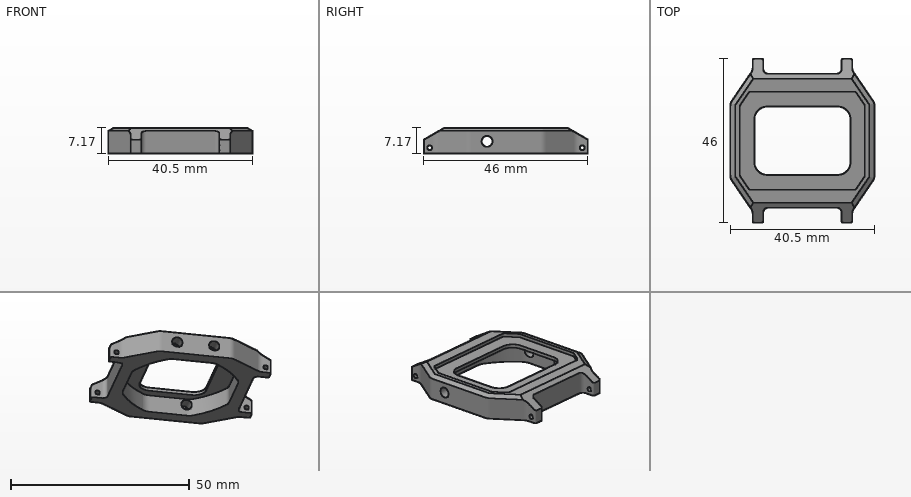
import cadquery as cq
import math

length = 46.0
width = 40.45
height = 7.17
body_length = 37.6

corner_angle = 34.3
side_flat_half = 10.55
side_blend_radius = 2.5

lug_width = 3.05
lug_inner_x = 10.95
lug_tip_radius = 0.5
lug_root_inner_radius = 1.3
lug_root_outer_radius = 2.5
lug_outer_x = lug_inner_x + lug_width
pin_hole_diameter = 1.3
pin_hole_y = 21.4
pin_hole_z = 1.6

slope_angle = 30.0
slope_inset = 1.45

pocket_width = 35.05
pocket_length = 27.6
pocket_flat_half = 9.9
pocket_corner_radius = 1.0
pocket_depth = 1.0
rim_thickness = 1.0
window_width = 26.85
window_length = 19.1
window_corner_radius = 3.5

cavity_width = 32.45
cavity_length = 30.55
cavity_side_flat_half = 6.4
cavity_end_flat_half = 6.65
cavity_bulge_radius = 24.95
cavity_blend_radius = 3.5
cavity_height = height - pocket_depth - rim_thickness

side_hole_diameter = 3.0
side_hole_y = 5.3
side_hole_z = 3.4


def mirrored(points):
    """Complete a loop from the points of its +X +Y quarter, listed from the X side to the Y side."""
    upper = points + [(-x, y) for x, y in reversed(points)]
    lower = [(-x, -y) for x, y in upper]
    return upper + lower


def clipped_rectangle(size_x, size_y, flat_half):
    """Closed outline of a rectangle with slanted corners; flat_half is half the straight X side."""
    corner_run = (size_y / 2 - flat_half) * math.tan(math.radians(corner_angle))
    quarter = [(size_x / 2, flat_half), (size_x / 2 - corner_run, size_y / 2)]
    return cq.Workplane("XY").polyline(mirrored(quarter)).close()


def edges_at(x, y):
    """Select the vertical edges at (x, y) and its mirror images."""
    reach = 0.05
    selector = None
    for sx in (1, -1):
        for sy in (1, -1):
            box = cq.selectors.BoxSelector(
                (sx * x - reach, sy * y - reach, -reach),
                (sx * x + reach, sy * y + reach, height + reach),
            )
            selector = box if selector is None else selector + box
    return selector


def make_body():
    """Straight-walled body with four lugs and all vertical blends."""
    slant = math.tan(math.radians(corner_angle))
    lug_root_y = side_flat_half + (width / 2 - lug_outer_x) / slant
    corners = [
        (width / 2, side_flat_half),
        (lug_outer_x, lug_root_y),
        (lug_outer_x, length / 2),
        (lug_inner_x, length / 2),
        (lug_inner_x, body_length / 2),
    ]
    radii = [
        side_blend_radius,
        lug_root_outer_radius,
        lug_tip_radius,
        lug_tip_radius,
        lug_root_inner_radius,
    ]
    body = cq.Workplane("XY").polyline(mirrored(corners)).close().extrude(height)
    for (x, y), radius in zip(corners, radii):
        body = body.edges(edges_at(x, y)).fillet(radius)
    return body


def make_slope_envelope():
    """Solid under the flat top and its sloped faces, wide enough to reach past the lugs."""
    top = clipped_rectangle(width, body_length, side_flat_half).offset2D(-slope_inset, "intersection")
    flare = height / math.tan(math.radians(slope_angle))
    base = clipped_rectangle(width, body_length, side_flat_half).offset2D(flare - slope_inset, "intersection")
    top_wire = top.val().moved(cq.Location(cq.Vector(0, 0, height)))
    return cq.Workplane(cq.Solid.makeLoft([base.val(), top_wire], True))


def make_pocket():
    pocket = clipped_rectangle(pocket_width, pocket_length, pocket_flat_half).extrude(pocket_depth)
    pocket = pocket.edges("|Z").fillet(pocket_corner_radius)
    return pocket.translate((0, 0, height - pocket_depth))


def make_window():
    window = cq.Workplane("XY").rect(window_width, window_length).extrude(height)
    return window.edges("|Z").fillet(window_corner_radius)


def make_cavity():
    half_x = cavity_width / 2
    half_y = cavity_length / 2
    side_flat = cavity_side_flat_half
    end_flat = cavity_end_flat_half
    outline = (
        cq.Workplane("XY")
        .moveTo(half_x, -side_flat)
        .lineTo(half_x, side_flat)
        .radiusArc((end_flat, half_y), -cavity_bulge_radius)
        .lineTo(-end_flat, half_y)
        .radiusArc((-half_x, side_flat), -cavity_bulge_radius)
        .lineTo(-half_x, -side_flat)
        .radiusArc((-end_flat, -half_y), -cavity_bulge_radius)
        .lineTo(end_flat, -half_y)
        .radiusArc((half_x, -side_flat), -cavity_bulge_radius)
        .close()
    )
    return outline.extrude(cavity_height).edges("|Z").fillet(cavity_blend_radius)


def bore(start_x, y, z, diameter):
    """Round bore along X, from start_x out through the -X side."""
    run = start_x + width / 2
    return cq.Workplane("YZ", origin=(start_x, y, z)).circle(diameter / 2).extrude(-run)


result = make_body().intersect(make_slope_envelope())
result = result.cut(make_pocket()).cut(make_window()).cut(make_cavity())

for pin_y in (pin_hole_y, -pin_hole_y):
    result = result.cut(bore(width / 2, pin_y, pin_hole_z, pin_hole_diameter))

result = result.cut(bore(width / 2, -side_hole_y, side_hole_z, side_hole_diameter))
result = result.cut(bore(0, side_hole_y, side_hole_z, side_hole_diameter))